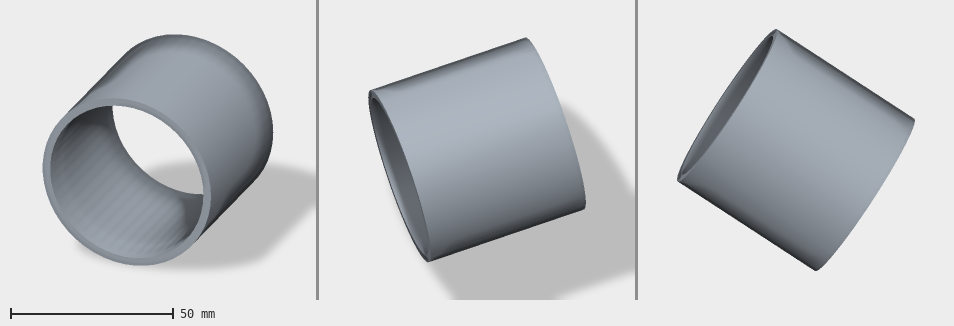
import cadquery as cq

outer_diameter = 56.0
inner_diameter = 50.95
length = 50.8

result = (
    cq.Workplane("XZ", origin=(0, length / 2, 0))
    .circle(outer_diameter / 2)
    .circle(inner_diameter / 2)
    .extrude(length)
)